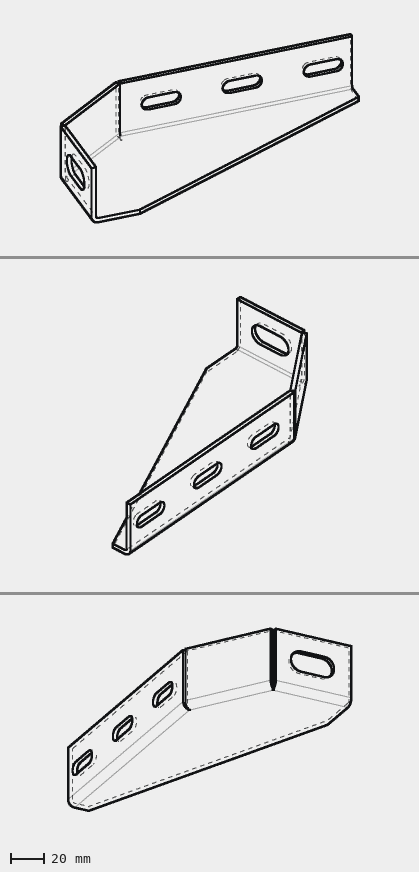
import cadquery as cq
import math

width = 87.0
length = 200.0
height = 39.0

thickness = 3.0
inner_radius = 1.5
outer_radius = inner_radius + thickness

side_flange_start_y = 51.0
end_flange_start_x = 36.0
side_seam_gap = 0.1
end_seam_gap = 0.4
tip_width = 14.0
end_edge_top_y = 31.0

inner_face_start = (thickness, side_flange_start_y - side_seam_gap)
inner_face_end = (end_flange_start_x - end_seam_gap, thickness)
diagonal_run_x = inner_face_end[0] - inner_face_start[0]
diagonal_run_y = inner_face_end[1] - inner_face_start[1]
diagonal_run = math.hypot(diagonal_run_x, diagonal_run_y)

inset_x = -diagonal_run_y / diagonal_run * inner_radius
inset_y = diagonal_run_x / diagonal_run * inner_radius
diagonal_start = (inner_face_start[0] + inset_x, inner_face_start[1] + inset_y)
diagonal_end = (inner_face_end[0] + inset_x, inner_face_end[1] + inset_y)

diagonal_slope = diagonal_run_y / diagonal_run_x
side_corner = (
    outer_radius,
    diagonal_start[1] + (outer_radius - diagonal_start[0]) * diagonal_slope,
)
end_corner = (
    diagonal_start[0] + (outer_radius - diagonal_start[1]) / diagonal_slope,
    outer_radius,
)

slot_z = 21.0
side_slot_length = 25.0
side_slot_width = 8.5
side_slot_pitch = 52.0
side_slot_count = 3
first_side_slot_y = 77.5
end_slot_length = 29.0
end_slot_width = 13.5
end_slot_x = 60.75


def base_plate():
    """Flat floor of the bracket, bounded by the three bend lines and the sloping free edge."""
    outline = [
        (outer_radius, length),
        side_corner,
        end_corner,
        (width, outer_radius),
        (width, end_edge_top_y),
        (tip_width, length),
    ]
    return cq.Workplane("XY").polyline(outline).close().extrude(thickness)


def flange(start, end):
    """Bend and upright wall along the bend line start-end, with the base on the left of the line."""
    run_x = end[0] - start[0]
    run_y = end[1] - start[1]
    run = math.hypot(run_x, run_y)
    outward = (run_y / run, -run_x / run, 0)
    section_plane = cq.Plane(origin=(start[0], start[1], 0), xDir=outward, normal=(-run_x, -run_y, 0))
    diagonal = math.sqrt(0.5)
    outer_mid = (outer_radius * diagonal, outer_radius * (1 - diagonal))
    inner_mid = (inner_radius * diagonal, outer_radius - inner_radius * diagonal)
    return (
        cq.Workplane(section_plane)
        .moveTo(0, 0)
        .threePointArc(outer_mid, (outer_radius, outer_radius))
        .lineTo(outer_radius, height)
        .lineTo(inner_radius, height)
        .lineTo(inner_radius, outer_radius)
        .threePointArc(inner_mid, (0, thickness))
        .close()
        .extrude(-run)
    )


def side_slots():
    """Cutters for the row of slots through the long side flange."""
    centres = [(first_side_slot_y + i * side_slot_pitch, slot_z) for i in range(side_slot_count)]
    return (
        cq.Workplane("YZ")
        .pushPoints(centres)
        .slot2D(side_slot_length, side_slot_width)
        .extrude(outer_radius)
    )


def end_slot():
    """Cutter for the wide slot through the short end flange."""
    return (
        cq.Workplane("XZ")
        .center(end_slot_x, slot_z)
        .slot2D(end_slot_length, end_slot_width)
        .extrude(-outer_radius)
    )


bracket = base_plate()
bracket = bracket.union(flange((outer_radius, length), (outer_radius, side_flange_start_y)))
bracket = bracket.union(flange(diagonal_start, diagonal_end))
bracket = bracket.union(flange((end_flange_start_x, outer_radius), (width, outer_radius)))

result = bracket.cut(side_slots()).cut(end_slot())